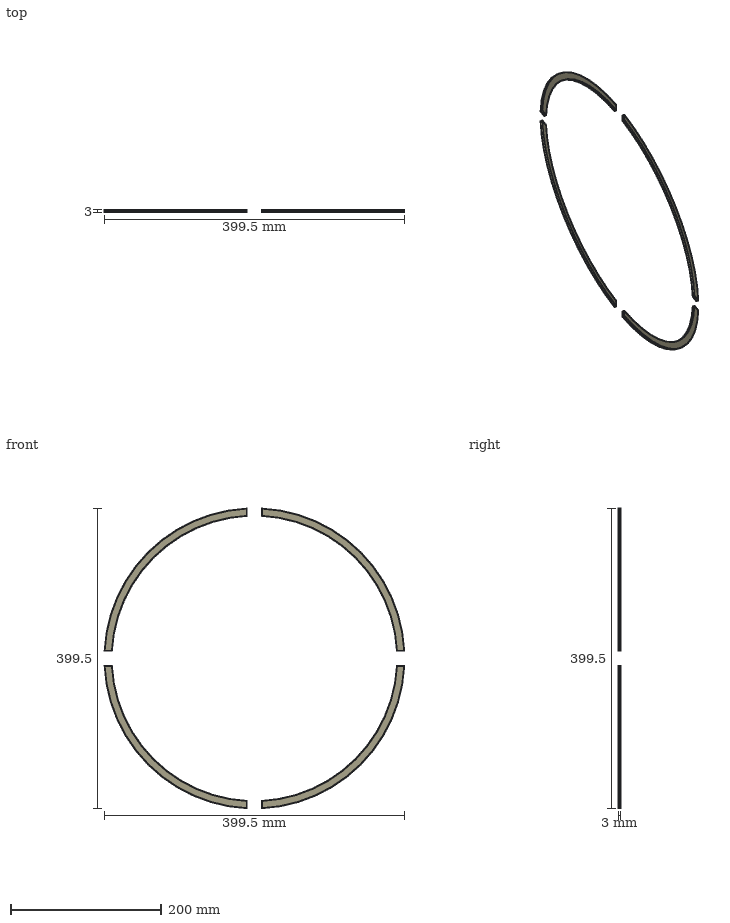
import cadquery as cq
import math

outer_span = 399.5
ring_width = 10.0
thickness = 3.0
gap = 20.0
segment_count = 4

half_gap = gap / 2
outer_radius = math.hypot(outer_span / 2, half_gap)
inner_radius = outer_radius - ring_width


def point_on_arc(radius, angle):
    return (radius * math.cos(angle), radius * math.sin(angle))


def ring_segment():
    """One segment in the +X, +Z quadrant, with ends parallel to the X and Z axes."""
    outer_reach = math.sqrt(outer_radius**2 - half_gap**2)
    inner_reach = math.sqrt(inner_radius**2 - half_gap**2)
    middle_angle = math.radians(45)
    return (
        cq.Workplane("XZ")
        .moveTo(inner_reach, half_gap)
        .lineTo(outer_reach, half_gap)
        .threePointArc(point_on_arc(outer_radius, middle_angle), (half_gap, outer_reach))
        .lineTo(half_gap, inner_reach)
        .threePointArc(point_on_arc(inner_radius, middle_angle), (inner_reach, half_gap))
        .close()
        .extrude(thickness / 2, both=True)
    )


segments = []
for index in range(segment_count):
    turn = index * 360 / segment_count
    segment = ring_segment().rotate((0, 0, 0), (0, 1, 0), turn)
    segments.append(segment.val())

result = cq.Compound.makeCompound(segments)